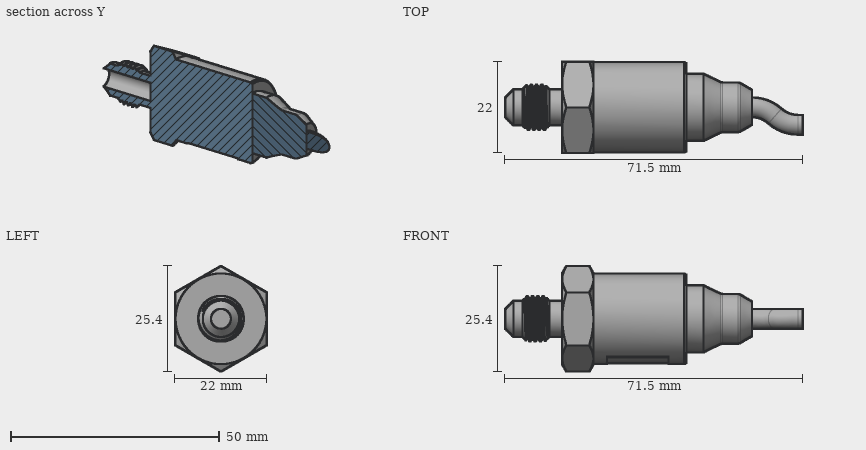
import cadquery as cq
import math


PORT_DIA = 4.78
STEM_DIA = 8.74
NOSE_LENGTH = (STEM_DIA - PORT_DIA) / 2
THREAD_DIA = 11.01
THREAD_ROOT_DIA = 9.6
THREAD_PITCH = 1.27
THREAD_START = 4.15
THREAD_END = 10.6
THREAD_ANGLE = 60.0
THREAD_CREST = THREAD_PITCH / 8
THREAD_OVERCUT = 0.05
GROOVE_START = 3.08
THREAD_CHAMFER = (THREAD_DIA - STEM_DIA) / 2

HEX_START = 13.65
HEX_LENGTH = 7.6
HEX_END = HEX_START + HEX_LENGTH
PORT_DEPTH = HEX_START
HEX_FLATS = 22.0
HEX_CORNERS = HEX_FLATS / math.cos(math.radians(30))
HEX_FACE_DIA = 21.8
HEX_CHAMFER_ANGLE = 30.0

CASE_DIA = 21.8
CASE_END_DIA = 21.2
CASE_CHAMFER = 0.55
CASE_END = 43.5

LABEL_START = 24.4
LABEL_END = 39.2
LABEL_WIDTH = 11.4
LABEL_DEPTH = 0.2

BOOT_BASE_DIA = 16.2
BOOT_BASE_END = 47.6
BOOT_NECK_DIA = 12.0
BOOT_NECK_START = 51.95
BOOT_NECK_END = 56.2
BOOT_TIP_DIA = 8.4
BOOT_END = 59.3
BOOT_BLEND_RADIUS = 1.2
EDGE_MARGIN = 0.1

CABLE_DIA = 4.8
CABLE_END = 71.47
CABLE_OFFSET = 4.2
BEND_LENGTH = 11.0
BEND_END = BOOT_END + BEND_LENGTH
BEND_RADIUS = (BEND_LENGTH**2 + CABLE_OFFSET**2) / (4 * CABLE_OFFSET)


def x_cylinder(start, end, diameter):
    return cq.Workplane("YZ").workplane(offset=start).circle(diameter / 2).extrude(end - start)


def revolve_about_x(points):
    return cq.Workplane("XY").polyline(points).close().revolve(360, (0, 0, 0), (1, 0, 0))


def make_stem():
    """Flare nose, plain stem and the blank of the thread."""
    stem_radius = STEM_DIA / 2
    thread_radius = THREAD_DIA / 2
    return revolve_about_x([
        (0, 0),
        (0, PORT_DIA / 2),
        (NOSE_LENGTH, stem_radius),
        (THREAD_START, stem_radius),
        (THREAD_START + THREAD_CHAMFER, thread_radius),
        (THREAD_END - THREAD_CHAMFER, thread_radius),
        (THREAD_END, stem_radius),
        (HEX_START, stem_radius),
        (HEX_START, 0),
    ])


def make_thread_groove():
    """Right-hand helical groove that runs out past both ends of the thread."""
    root_radius = THREAD_ROOT_DIA / 2
    major_radius = THREAD_DIA / 2
    mouth_radius = major_radius + THREAD_OVERCUT
    flank_slope = math.tan(math.radians(THREAD_ANGLE / 2))
    half_mouth_at_major = (THREAD_PITCH - THREAD_CREST) / 2
    half_root = half_mouth_at_major - (major_radius - root_radius) * flank_slope
    half_mouth = half_mouth_at_major + THREAD_OVERCUT * flank_slope
    groove_length = THREAD_END + THREAD_PITCH - GROOVE_START
    corners = [
        (root_radius, -half_root),
        (root_radius, half_root),
        (mouth_radius, half_mouth),
        (mouth_radius, -half_mouth),
    ]
    helices = [
        cq.Wire.makeHelix(THREAD_PITCH, groove_length, radius, cq.Vector(0, 0, height))
        for radius, height in corners
    ]
    following_helices = helices[1:] + helices[:1]
    faces = [cq.Face.makeRuledSurface(*pair) for pair in zip(helices, following_helices)]
    for end_points in ([h.startPoint() for h in helices], [h.endPoint() for h in helices]):
        faces.append(cq.Face.makeFromWires(cq.Wire.makePolygon(end_points, close=True)))
    groove = cq.Workplane(cq.Solid.makeSolid(cq.Shell.makeShell(faces)))
    groove = groove.rotate((0, 0, 0), (0, 1, 0), 90).rotate((0, 0, 0), (1, 0, 0), 90)
    return groove.translate((GROOVE_START, 0, 0))


def make_hexagon():
    """Hexagon with corners up and down, its corners chamfered by a cone at both ends."""
    prism = (
        cq.Workplane("YZ").workplane(offset=HEX_START)
        .transformed(rotate=(0, 0, 90)).polygon(6, HEX_CORNERS).extrude(HEX_LENGTH)
    )
    face_radius = HEX_FACE_DIA / 2
    corner_radius = HEX_CORNERS / 2
    chamfer = (corner_radius - face_radius) * math.tan(math.radians(HEX_CHAMFER_ANGLE))
    envelope = revolve_about_x([
        (HEX_START, 0),
        (HEX_START, face_radius),
        (HEX_START + chamfer, corner_radius),
        (HEX_END - chamfer, corner_radius),
        (HEX_END, face_radius),
        (HEX_END, 0),
    ])
    return prism.intersect(envelope)


def make_case():
    """Plain cylinder with a small chamfer at the cable end."""
    return revolve_about_x([
        (HEX_END, 0),
        (HEX_END, CASE_DIA / 2),
        (CASE_END - CASE_CHAMFER, CASE_DIA / 2),
        (CASE_END, CASE_END_DIA / 2),
        (CASE_END, 0),
    ])


def make_label_recess():
    """Curved patch of even depth on the underside."""
    length = LABEL_END - LABEL_START
    patch = cq.Workplane("XY").box(length, LABEL_WIDTH, CASE_DIA, centered=(False, True, False))
    patch = patch.translate((LABEL_START, 0, -CASE_DIA))
    return patch.cut(x_cylinder(LABEL_START, LABEL_END, CASE_DIA - 2 * LABEL_DEPTH))


def make_housing():
    """Threaded fitting, hexagon and case in one piece, with a blind port from the nose."""
    stem = make_stem().cut(make_thread_groove())
    port = x_cylinder(0, PORT_DEPTH, PORT_DIA)
    solid_housing = stem.union(make_hexagon()).union(make_case())
    return solid_housing.cut(make_label_recess()).cut(port)


def make_boot():
    """Tapered boot seated on the end of the case, with both neck edges blended."""
    boot = revolve_about_x([
        (CASE_END, 0),
        (CASE_END, BOOT_BASE_DIA / 2),
        (BOOT_BASE_END, BOOT_BASE_DIA / 2),
        (BOOT_NECK_START, BOOT_NECK_DIA / 2),
        (BOOT_NECK_END, BOOT_NECK_DIA / 2),
        (BOOT_END, BOOT_TIP_DIA / 2),
        (BOOT_END, 0),
    ])
    neck_edges = cq.selectors.BoxSelector(
        (BOOT_NECK_START - EDGE_MARGIN, -BOOT_NECK_DIA, -BOOT_NECK_DIA),
        (BOOT_NECK_END + EDGE_MARGIN, BOOT_NECK_DIA, BOOT_NECK_DIA),
    )
    return boot.edges("%CIRCLE").edges(neck_edges).fillet(BOOT_BLEND_RADIUS)


def make_cable():
    """Round cable whose S-bend is two equal tangent arcs."""
    middle = ((BOOT_END + BEND_END) / 2, -CABLE_OFFSET / 2)
    path = (
        cq.Workplane("XY").moveTo(BOOT_END, 0).radiusArc(middle, BEND_RADIUS)
        .tangentArcPoint((BEND_END, -CABLE_OFFSET), relative=False)
        .lineTo(CABLE_END, -CABLE_OFFSET)
    )
    return cq.Workplane("YZ").workplane(offset=BOOT_END).circle(CABLE_DIA / 2).sweep(path)


housing = make_housing()
boot = make_boot()
cable = make_cable()

result = cq.Compound.makeCompound([housing.val(), boot.val(), cable.val()])